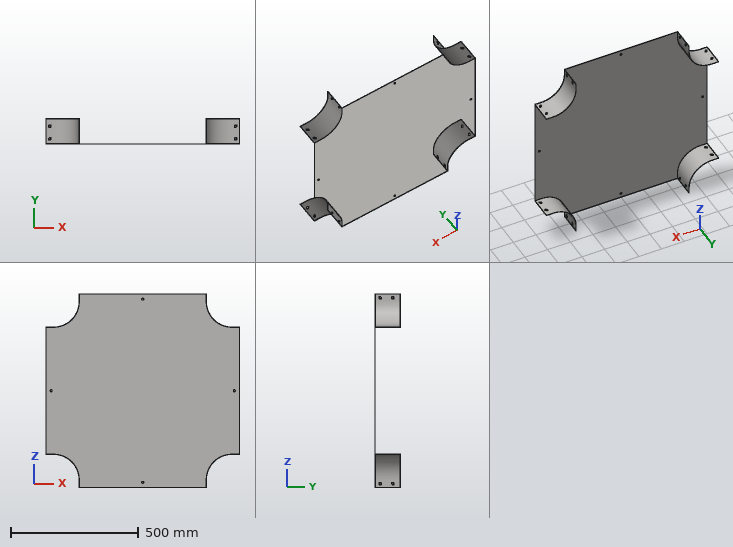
import cadquery as cq
import math

plate_size = 760.0
total_depth = 100.0
sheet_thickness = 0.8
arm_width = 500.0
bend_radius = 100.0

plate_hole_diameter = 7.0
plate_hole_edge_distance = 20.0
tab_slot_length = 12.0
tab_slot_width = 6.0
tab_slot_tilt = 45.0
tab_slot_depths = (20.0, 70.0)

half_size = plate_size / 2
half_arm = arm_width / 2
tab_length = half_size - half_arm - bend_radius
arc_center = half_arm + bend_radius
tab_slot_position = half_size - tab_length / 2
plate_hole_position = half_size - plate_hole_edge_distance
half_turn = 180.0
quarter_turns = (0, 90, 180, 270)


def extrude_back(sketch, depth):
    """Extrude an XZ sketch from the front face at Y = 0 toward +Y."""
    return sketch.extrude(-depth)


def corner_recess(offset, depth):
    """Solid of the rounded recess at the +X +Z corner, its edge moved outward by offset."""
    near = half_arm - offset
    radius = bend_radius + offset
    diagonal = arc_center - radius / math.sqrt(2)
    sketch = (
        cq.Workplane("XZ")
        .moveTo(half_size, near)
        .lineTo(arc_center, near)
        .threePointArc((diagonal, diagonal), (near, arc_center))
        .lineTo(near, half_size)
        .lineTo(half_size, half_size)
        .close()
    )
    return extrude_back(sketch, depth)


def tab_slots(workplane, tilt):
    """Cutters for the two slanted slots of one tab, centered on the tab's width."""
    return (
        workplane.pushPoints([(tab_slot_position, depth) for depth in tab_slot_depths])
        .slot2D(tab_slot_length, tab_slot_width, tilt)
        .extrude(sheet_thickness)
    )


def corner_wall():
    """Bent wall that follows the recess edge, with two slanted slots in each straight tab."""
    wall = corner_recess(sheet_thickness, total_depth).cut(corner_recess(0, total_depth))
    horizontal_tab = cq.Workplane("XY", origin=(0, 0, half_arm - sheet_thickness))
    vertical_tab = cq.Workplane("ZY", origin=(half_arm, 0, 0))
    wall = wall.cut(tab_slots(horizontal_tab, tab_slot_tilt))
    return wall.cut(tab_slots(vertical_tab, half_turn - tab_slot_tilt))


def turned(shape, angle):
    """Turn a shape about the plate's central Y axis."""
    return shape.rotate((0, 0, 0), (0, 1, 0), angle)


def flat_plate():
    """Square sheet with one hole near the middle of each side."""
    hole_points = [
        (plate_hole_position, 0),
        (-plate_hole_position, 0),
        (0, plate_hole_position),
        (0, -plate_hole_position),
    ]
    plate = extrude_back(cq.Workplane("XZ").rect(plate_size, plate_size), sheet_thickness)
    holes = extrude_back(
        cq.Workplane("XZ").pushPoints(hole_points).circle(plate_hole_diameter / 2),
        sheet_thickness,
    )
    return plate.cut(holes)


recess = corner_recess(0, total_depth)
wall = corner_wall()

result = flat_plate()
for angle in quarter_turns:
    result = result.cut(turned(recess, angle))
for angle in quarter_turns:
    result = result.union(turned(wall, angle))